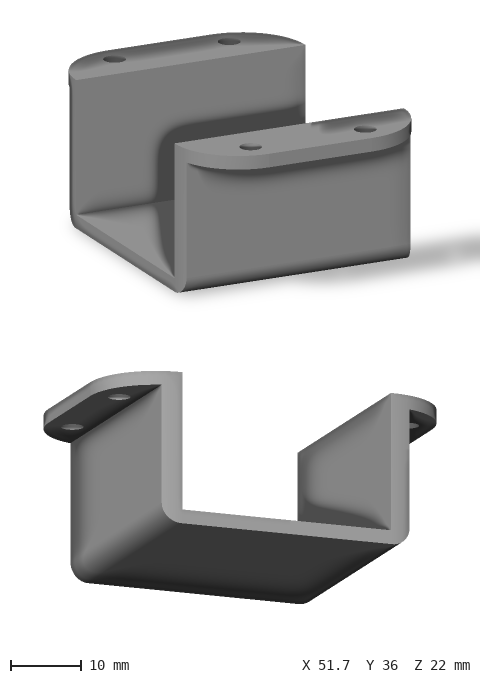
import cadquery as cq

length = 51.7
depth = 36.0
height = 22.0

floor_thickness = 2.0
flange_thickness = 2.0
wall_thickness = 3.0
channel_width = 31.6
body_width = channel_width + 2 * wall_thickness
bottom_radius = 2.85

corner_radius = 9.95

hole_diameter = 3.2
hole_edge_distance = 4.0
hole_spacing_x = length - 2 * hole_edge_distance
hole_spacing_y = 18.0


def centered_block(width, block_height, bottom):
    """Full-depth block centred on X and Y, resting at the given height."""
    return (
        cq.Workplane("XY")
        .workplane(offset=bottom)
        .rect(width, depth)
        .extrude(block_height)
    )


body = centered_block(body_width, height, 0)
body = body.edges("|Y and <Z").fillet(bottom_radius)
flanges = centered_block(length, flange_thickness, height - flange_thickness)
channel = centered_block(channel_width, height - floor_thickness, floor_thickness)
bracket = body.union(flanges).cut(channel)

plan_outline = centered_block(length, height, 0).edges("|Z").fillet(corner_radius)
bracket = bracket.intersect(plan_outline)

holes = (
    cq.Workplane("XY")
    .workplane(offset=height - flange_thickness)
    .rect(hole_spacing_x, hole_spacing_y, forConstruction=True)
    .vertices()
    .circle(hole_diameter / 2)
    .extrude(flange_thickness)
)
result = bracket.cut(holes)